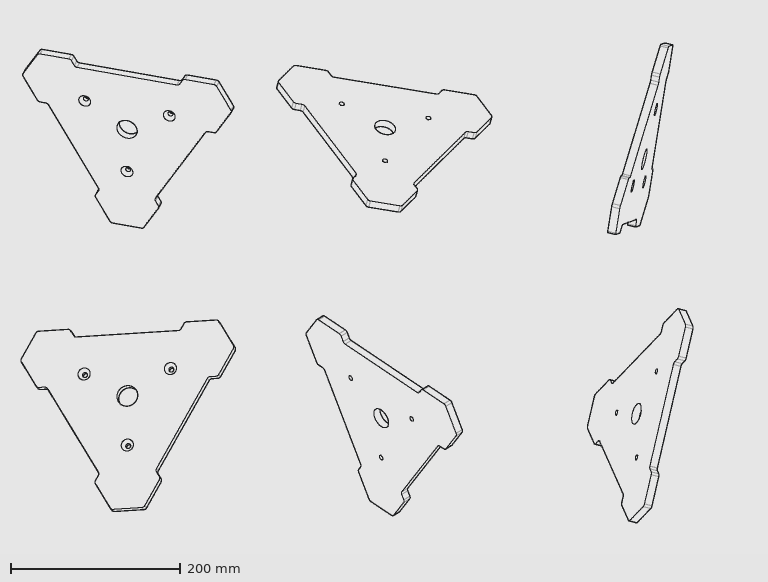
import cadquery as cq
import math

height = 225.0
thickness = 10.0
pad_apothem = 34.7
web_apothem = 76.5
corner_radius = 4.0
bore_diameter = 25.0
screw_circle_radius = 60.5
screw_diameter = 6.0
sink_diameter = 14.7
sink_angle = 90.0

pad_diameter = 2 * pad_apothem / math.cos(math.radians(30))
pad_circle_radius = (height - 2 * pad_apothem) / 1.5
arm_angles = (30, 150, 270)


def on_circle(radius, angle):
    """Point in the XZ plane at a polar position about the plate centre."""
    return (radius * math.cos(math.radians(angle)), radius * math.sin(math.radians(angle)))


pad_centres = [on_circle(pad_circle_radius, angle) for angle in arm_angles]
screw_points = [on_circle(screw_circle_radius, angle) for angle in arm_angles]
web_corners = [on_circle(2 * web_apothem, angle) for angle in arm_angles]


def make_plate():
    """Triangular web ending in a hexagonal pad at each corner."""
    web = cq.Workplane("XZ").polyline(web_corners).close().extrude(thickness)
    trim = cq.Workplane("XZ").circle(pad_circle_radius).extrude(thickness)
    pads = cq.Workplane("XZ").pushPoints(pad_centres).polygon(6, pad_diameter).extrude(thickness)
    plate = web.intersect(trim).union(pads).clean()
    return plate.edges("|Y").fillet(corner_radius)


def cut_holes(plate):
    """Central bore and one countersunk screw hole per arm, opening on the -Y face."""
    face_centre = (0, -thickness, 0)
    bored = plate.faces("<Y").workplane(origin=face_centre).hole(bore_diameter)
    return (
        bored.faces("<Y")
        .workplane(origin=face_centre)
        .pushPoints(screw_points)
        .cskHole(screw_diameter, sink_diameter, sink_angle)
    )


result = cut_holes(make_plate())